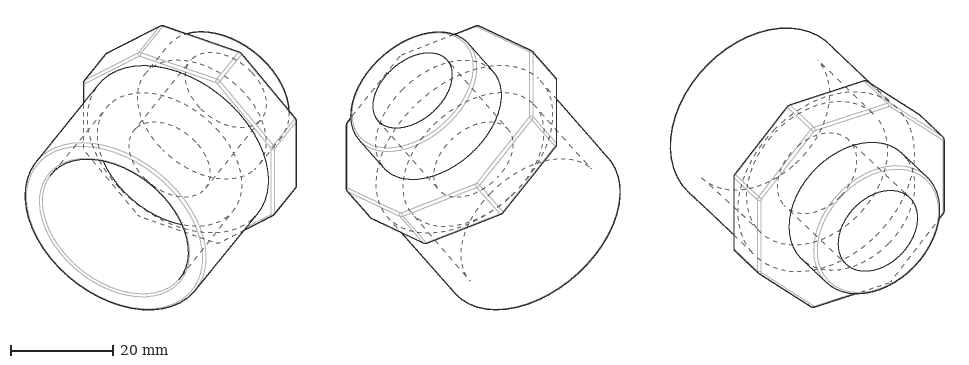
import cadquery as cq
import math

total_length = 46.5
collar_length = 10.0
spigot_length = 10.0
socket_length = total_length - collar_length - spigot_length

collar_flats = 42.25
collar_sides = 8
socket_mouth_diameter = 40.0
socket_root_diameter = 40.1
spigot_diameter = 28.5
bore_mouth_diameter = 32.35
bore_floor_diameter = 32.0
through_bore_diameter = 18.0
socket_bore_depth = 23.0

collar_corner_round = 0.98
collar_face_round = 0.5
rim_round = 0.5
bore_mouth_round = 0.4

mouth_y = -total_length / 2
collar_front_y = mouth_y + socket_length
collar_back_y = collar_front_y + collar_length


def cylinder(diameter, start_y, length):
    """Solid cylinder about the Y axis, running from start_y toward +Y."""
    plane = cq.Plane(origin=(0, start_y, 0), xDir=(1, 0, 0), normal=(0, 1, 0))
    return cq.Workplane(plane).circle(diameter / 2).extrude(length)


def socket_taper(mouth_diameter, inner_diameter, length):
    """Solid cone about the Y axis, running from the socket mouth toward +Y."""
    cone = cq.Solid.makeCone(
        mouth_diameter / 2,
        inner_diameter / 2,
        length,
        pnt=cq.Vector(0, mouth_y, 0),
        dir=cq.Vector(0, 1, 0),
    )
    return cq.Workplane(obj=cone)


def octagonal_collar():
    """Wrench collar with two flats square to X and two square to Z, all edges rounded."""
    plane = cq.Plane(origin=(0, collar_front_y, 0), xDir=(1, 0, 0), normal=(0, 1, 0))
    corner_diameter = collar_flats / math.cos(math.pi / collar_sides)
    prism = cq.Workplane(plane).polygon(collar_sides, corner_diameter).extrude(collar_length)
    half_side_angle = 180 / collar_sides
    prism = prism.rotate((0, 0, 0), (0, 1, 0), half_side_angle)
    prism = prism.edges("|Y").fillet(collar_corner_round)
    return prism.faces("<Y or >Y").edges().fillet(collar_face_round)


def bored_socket_body():
    """Tapered socket barrel and blind bore, with both edges of the mouth rounded."""
    barrel = socket_taper(socket_mouth_diameter, socket_root_diameter, socket_length)
    barrel = barrel.faces("<Y").edges().fillet(rim_round)
    bore = socket_taper(bore_mouth_diameter, bore_floor_diameter, socket_bore_depth)
    inner_mouth_edge = cq.selectors.RadiusNthSelector(0)
    return barrel.cut(bore).faces("<Y").edges(inner_mouth_edge).fillet(bore_mouth_round)


def spigot_body():
    """Smaller barrel on the +Y side with a rounded end rim."""
    barrel = cylinder(spigot_diameter, collar_back_y, spigot_length)
    return barrel.faces(">Y").edges().fillet(rim_round)


outer_body = octagonal_collar().union(spigot_body())
through_bore = cylinder(through_bore_diameter, mouth_y, total_length)
result = outer_body.union(bored_socket_body()).cut(through_bore)